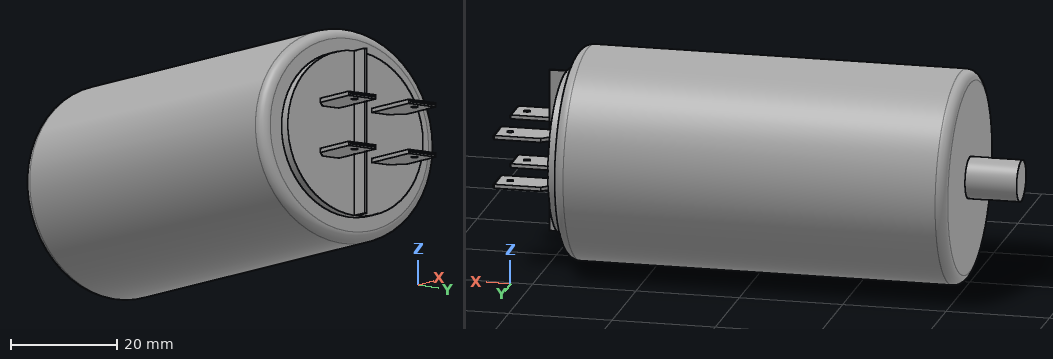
import cadquery as cq

total_length = 100.0
stud_length = 10.0
can_length = 76.0
cap_thickness = 2.0
can_start = stud_length
can_end = can_start + can_length
cap_face = can_end + cap_thickness

can_diameter = 41.0
can_edge_radius = 2.0
stud_diameter = 8.0
cap_diameter = 31.6

wall_thickness = 0.5
wall_height = 3.3

blade_width = 6.3
blade_thickness = 0.8
blade_offset_y = 7.0
blade_offset_z = 4.8
blade_taper_length = 2.7
blade_taper_depth = 2.4
blade_tip_chamfer = 0.3
blade_hole_diameter = 1.2
blade_hole_to_tip = 2.7


def cylinder_along_x(start, length, diameter):
    return cq.Workplane("YZ").workplane(offset=start).circle(diameter / 2).extrude(length)


def make_wall():
    """Thin upright slab standing on the cap, its short sides following the round cap rim."""
    slab = (
        cq.Workplane("XY")
        .box(wall_height, wall_thickness, cap_diameter, centered=(False, True, True))
        .translate((cap_face, 0, 0))
    )
    return slab.intersect(cylinder_along_x(cap_face, wall_height, cap_diameter))


def make_blade(level):
    """Blade on the +Y side at height `level`, with its outer root corner cut off at a slant."""
    inner_y = blade_offset_y - blade_width / 2
    outer_y = blade_offset_y + blade_width / 2
    blade = (
        cq.Workplane("XY")
        .workplane(offset=level - blade_thickness / 2)
        .moveTo(can_end, inner_y)
        .lineTo(total_length, inner_y)
        .lineTo(total_length, outer_y)
        .lineTo(cap_face + blade_taper_length, outer_y)
        .lineTo(cap_face, outer_y - blade_taper_depth)
        .lineTo(can_end, outer_y - blade_taper_depth)
        .close()
        .extrude(blade_thickness)
    )
    blade = blade.faces(">X").edges().chamfer(blade_tip_chamfer)
    hole = (
        cq.Workplane("XY")
        .workplane(offset=level - blade_thickness)
        .center(total_length - blade_hole_to_tip, blade_offset_y)
        .circle(blade_hole_diameter / 2)
        .extrude(2 * blade_thickness)
    )
    return blade.cut(hole)


can = cylinder_along_x(can_start, can_length, can_diameter).edges().fillet(can_edge_radius)
stud = cylinder_along_x(0, stud_length, stud_diameter)
cap = cylinder_along_x(can_end, cap_thickness, cap_diameter)

result = can.union(stud).union(cap).union(make_wall())
for level in (-blade_offset_z, blade_offset_z):
    blade = make_blade(level)
    result = result.union(blade).union(blade.mirror("XZ"))